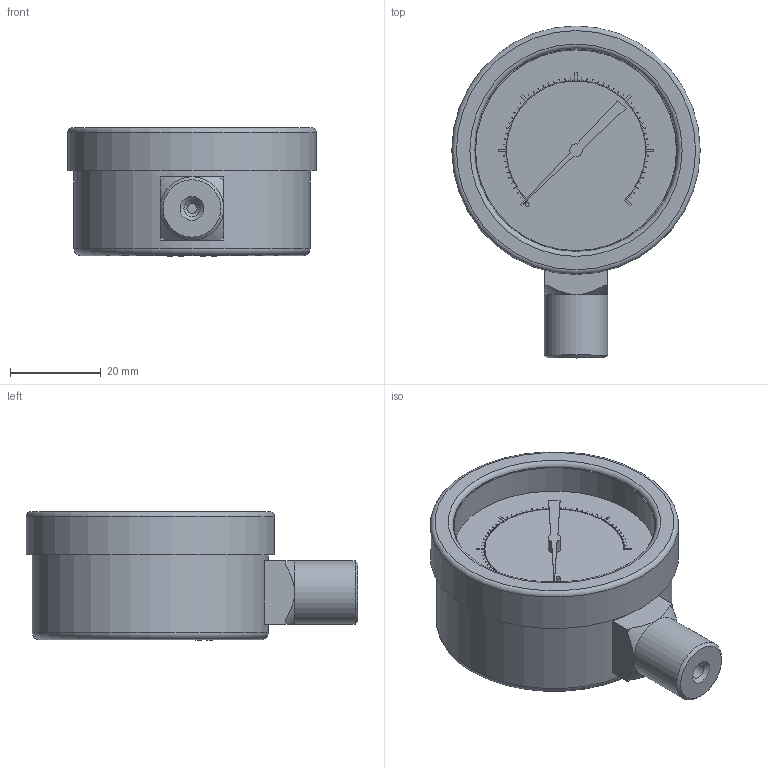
import cadquery as cq
import math

CASE_DIA = 52.07
CASE_BACK_FILLET = 1.5
BEZEL_DIA = 54.81
BEZEL_HEIGHT = 9.5
BEZEL_FILLET = 1.016
LIP_DIA = 44.8
LIP_DEPTH = 1.1
WINDOW_DIA = 44.32
TOTAL_HEIGHT = 28.32
PAD_HEIGHT = 0.13
CASE_HEIGHT = TOTAL_HEIGHT - PAD_HEIGHT
DIAL_DEPTH = 7.4
DIAL_Z = CASE_HEIGHT - DIAL_DEPTH

PAD_SIZE = 1.3
PAD_XS = (-4.85, -2.42, 2.42, 4.85)
PAD_YS = (-13.1, -10.7)

FITTING_SIZE = 13.97
FITTING_Z = 10.4
STEM_LENGTH = 13.97
TOTAL_LENGTH = 73.2
FITTING_END = TOTAL_LENGTH - BEZEL_DIA / 2
BLOCK_END = FITTING_END - STEM_LENGTH
BLOCK_START = 20.0
CORNER_TURN_LENGTH = 1.905
SHOULDER_DIA = 18.4
STEM_CHAMFER = 0.64

PORT_DIA = 3.56
PORT_MOUTH_DIA = 5.27
PORT_FLOOR_DIA = 2.24
PORT_DEPTH = 12.0

SCALE_RADIUS = 15.4
SCALE_LINE = 0.15
SCALE_HEIGHT = 0.05
SCALE_START = -45.0
SCALE_SWEEP = 270.0
MINOR_DIVISIONS = 60
MAJOR_DIVISIONS = 6
MINOR_LENGTH = 0.65
MINOR_WIDTH = 0.1
MAJOR_LENGTH = 1.7
MAJOR_WIDTH = 0.5

POINTER_ANGLE = 225.0
POINTER_THICKNESS = 0.25
NEEDLE_LENGTH = 16.5
NEEDLE_TIP_WIDTH = 0.1
NEEDLE_ROOT_WIDTH = 1.3
TAIL_LENGTH = 14.35
TAIL_END_WIDTH = 2.54
TAIL_ROOT_WIDTH = 1.5
HUB_DIA = 2.79
HUB_HEIGHT = 3.0
PIN_DIA = 0.85
PIN_HEIGHT = 3.7
PIN_RADIUS = 16.1
PIN_ANGLE = 228.0

OVERLAP = 0.2


def make_case():
    case = cq.Workplane("XY").circle(CASE_DIA / 2).extrude(CASE_HEIGHT)
    case = case.faces("<Z").edges().fillet(CASE_BACK_FILLET)
    bezel = (
        cq.Workplane("XY", origin=(0, 0, CASE_HEIGHT - BEZEL_HEIGHT))
        .circle(BEZEL_DIA / 2)
        .extrude(BEZEL_HEIGHT)
    )
    window = cq.Workplane("XY", origin=(0, 0, DIAL_Z)).circle(WINDOW_DIA / 2).extrude(DIAL_DEPTH)
    lip = cq.Workplane("XY", origin=(0, 0, CASE_HEIGHT - LIP_DEPTH)).circle(LIP_DIA / 2).extrude(LIP_DEPTH)
    body = case.union(bezel).cut(window).cut(lip)
    return body.faces(">Z").edges().fillet(BEZEL_FILLET)


def turned_about_fitting_axis(profile):
    """Revolve (radius, distance from the gauge axis) points about the fitting axis."""
    points = [(radius, -distance) for radius, distance in profile]
    return (
        cq.Workplane("XY", origin=(0, 0, FITTING_Z))
        .polyline(points).close()
        .revolve(360, (0, 0, 0), (0, 1, 0))
    )


def make_fitting():
    radius = FITTING_SIZE / 2
    block = (
        cq.Workplane("XZ", origin=(0, -BLOCK_START, FITTING_Z))
        .rect(FITTING_SIZE, FITTING_SIZE)
        .extrude(BLOCK_END - BLOCK_START)
    )
    shoulder = BLOCK_END - CORNER_TURN_LENGTH
    corner_cut = turned_about_fitting_axis([
        (radius, BLOCK_END),
        (SHOULDER_DIA / 2, shoulder),
        (FITTING_SIZE, shoulder),
        (FITTING_SIZE, BLOCK_END),
    ])
    stem = turned_about_fitting_axis([
        (0, shoulder),
        (radius, shoulder),
        (radius, FITTING_END - STEM_CHAMFER),
        (radius - STEM_CHAMFER, FITTING_END),
        (0, FITTING_END),
    ])
    return block.cut(corner_cut).union(stem)


def make_port():
    mouth_depth = (PORT_MOUTH_DIA - PORT_DIA) / 2
    floor_taper = (PORT_DIA - PORT_FLOOR_DIA) / 2
    floor = FITTING_END - PORT_DEPTH
    return turned_about_fitting_axis([
        (0, FITTING_END),
        (PORT_MOUTH_DIA / 2, FITTING_END),
        (PORT_DIA / 2, FITTING_END - mouth_depth),
        (PORT_DIA / 2, floor + floor_taper),
        (PORT_FLOOR_DIA / 2, floor),
        (0, floor),
    ])


def make_scale():
    base = cq.Workplane("XY", origin=(0, 0, DIAL_Z - OVERLAP))
    thickness = SCALE_HEIGHT + OVERLAP

    def at(radius, angle):
        return (radius * math.cos(math.radians(angle)), radius * math.sin(math.radians(angle)))

    inner = SCALE_RADIUS - SCALE_LINE / 2
    outer = SCALE_RADIUS + SCALE_LINE / 2
    end = SCALE_START + SCALE_SWEEP
    middle = SCALE_START + SCALE_SWEEP / 2
    scale = (
        base.moveTo(*at(inner, SCALE_START))
        .threePointArc(at(inner, middle), at(inner, end))
        .lineTo(*at(outer, end))
        .threePointArc(at(outer, middle), at(outer, SCALE_START))
        .close()
        .extrude(thickness)
    )
    graduations = (
        (MINOR_DIVISIONS, MINOR_LENGTH, MINOR_WIDTH),
        (MAJOR_DIVISIONS, MAJOR_LENGTH, MAJOR_WIDTH),
    )
    for divisions, length, width in graduations:
        ticks = (
            base.polarArray(SCALE_RADIUS + length / 2, SCALE_START, SCALE_SWEEP, divisions + 1)
            .rect(length, width)
            .extrude(thickness)
        )
        scale = scale.union(ticks)
    return scale


def make_pointer():
    hub = (
        cq.Workplane("XY", origin=(0, 0, DIAL_Z - OVERLAP))
        .circle(HUB_DIA / 2)
        .extrude(HUB_HEIGHT + OVERLAP)
    )
    blade_bottom = DIAL_Z + HUB_HEIGHT - POINTER_THICKNESS
    blades = (
        cq.Workplane("XY", origin=(0, 0, blade_bottom))
        .polyline([
            (NEEDLE_LENGTH, NEEDLE_TIP_WIDTH / 2),
            (0, NEEDLE_ROOT_WIDTH / 2),
            (0, TAIL_ROOT_WIDTH / 2),
            (-TAIL_LENGTH, TAIL_END_WIDTH / 2),
            (-TAIL_LENGTH, -TAIL_END_WIDTH / 2),
            (0, -TAIL_ROOT_WIDTH / 2),
            (0, -NEEDLE_ROOT_WIDTH / 2),
            (NEEDLE_LENGTH, -NEEDLE_TIP_WIDTH / 2),
        ])
        .close()
        .extrude(POINTER_THICKNESS)
        .rotate((0, 0, 0), (0, 0, 1), POINTER_ANGLE)
    )
    return hub.union(blades)


def make_stop_pin():
    return (
        cq.Workplane("XY", origin=(0, 0, DIAL_Z - OVERLAP))
        .polarArray(PIN_RADIUS, PIN_ANGLE, 360, 1)
        .circle(PIN_DIA / 2)
        .extrude(PIN_HEIGHT + OVERLAP)
    )


def make_back_pads():
    return (
        cq.Workplane("XY", origin=(0, 0, -PAD_HEIGHT))
        .pushPoints([(x, y) for x in PAD_XS for y in PAD_YS])
        .rect(PAD_SIZE, PAD_SIZE)
        .extrude(PAD_HEIGHT + OVERLAP)
    )


result = (
    make_case()
    .union(make_fitting())
    .cut(make_port())
    .union(make_scale())
    .union(make_pointer())
    .union(make_stop_pin())
    .union(make_back_pads())
)